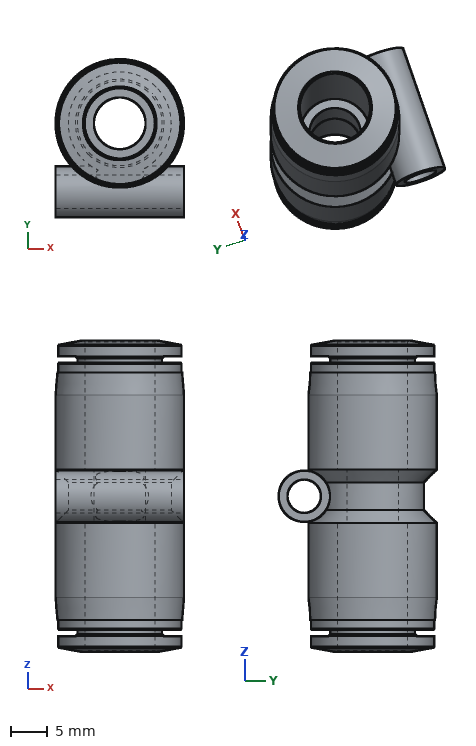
import cadquery as cq

total_height = 42.4
body_diameter = 17.5
body_radius = body_diameter / 2
half_height = total_height / 2

waist_radius = 7.0
waist_half_height = 1.9
waist_slope_height = body_radius - waist_radius

taper_start_z = 13.75
taper_end_z = 16.8
taper_end_radius = 8.5
rim_radius = 16.8 / 2
body_end_z = 18.2
rim_chamfer = 0.2

neck_radius = 11.53 / 2
collar_radius = rim_radius
collar_bottom_z = 19.0
neck_flare = 0.25
collar_edge_z = 20.6
collar_chamfer = 0.15

tube_bore_radius = 9.53 / 2
bore_chamfer = 0.25
through_bore_diameter = 7.0
tube_stop_z = waist_half_height + waist_slope_height

sleeve_diameter = 7.0
sleeve_bore_diameter = 4.5
sleeve_length = body_diameter
part_depth = 21.55
sleeve_center_y = body_radius + sleeve_diameter / 2 - part_depth


def make_socket():
    """Revolve the upper half of the fitting, with its tube bore and collar."""
    profile = [
        (0, 0),
        (waist_radius, 0),
        (waist_radius, waist_half_height),
        (body_radius, waist_half_height + waist_slope_height),
        (body_radius, taper_start_z),
        (taper_end_radius, taper_end_z),
        (rim_radius, taper_end_z),
        (rim_radius, body_end_z - rim_chamfer),
        (rim_radius - rim_chamfer, body_end_z),
        (neck_radius, body_end_z),
        (neck_radius, collar_bottom_z - neck_flare),
        (neck_radius + neck_flare, collar_bottom_z),
        (collar_radius, collar_bottom_z),
        (collar_radius, collar_edge_z - collar_chamfer),
        (collar_radius - collar_chamfer, collar_edge_z),
        (tube_bore_radius + bore_chamfer, half_height),
        (tube_bore_radius, half_height - bore_chamfer),
        (tube_bore_radius, tube_stop_z),
        (0, tube_stop_z),
    ]
    return cq.Workplane("XZ").polyline(profile).close().revolve(360, (0, 0, 0), (0, 1, 0))


def cross_cylinder(diameter):
    """Cylinder along X on the sleeve axis, centred on X = 0."""
    return (
        cq.Workplane("YZ")
        .center(sleeve_center_y, 0)
        .circle(diameter / 2)
        .extrude(sleeve_length / 2, both=True)
    )


upper_socket = make_socket()
lower_socket = upper_socket.mirror("XY")
through_bore = cq.Workplane("XY").circle(through_bore_diameter / 2).extrude(half_height, both=True)

result = (
    upper_socket.union(lower_socket)
    .union(cross_cylinder(sleeve_diameter))
    .cut(cross_cylinder(sleeve_bore_diameter))
    .cut(through_bore)
)